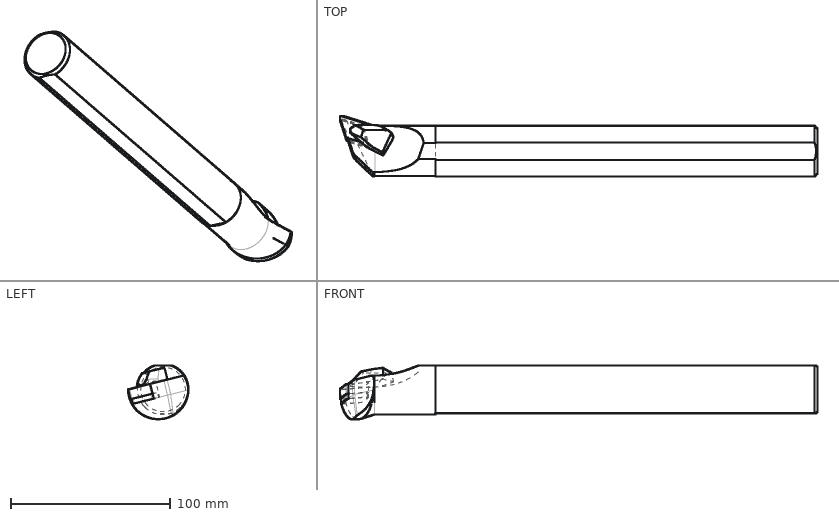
import cadquery as cq
import math

bar_length = 300.0
shank_diameter = 32.0
shank_height = 30.0
shank_start = 60.0
end_chamfer = 2.0
neck_diameter = 31.7
neck_center_y = (shank_diameter - neck_diameter) / 2

flare_start = 21.8
flare_angle = 17.5
head_radius = 19.0
head_center_y = 3.0
head_bottom = -18.78

tip_offset = 22.0
rake_tilt = 14.0
runout_start = 22.0
runout_radius = 50.0

insert_edge = 15.1
insert_thickness = 6.35
edge_angle = 17.5
nose_radius = 0.8
shim_thickness = 3.18
shim_inset = 0.4

face_setback = 0.8
corner_side = -24.4
slant_angle = 44.5
corner_radius = 5.0
end_relief_angle = 9.5
relief_depth = 30.0

clamp_height = 7.7
clamp_nose_diameter = 4.4
clamp_nose_center = (8.5, -9.5)
clamp_bend = (16.7, -19.9)
clamp_heel = (27.2, -25.5)
clamp_back = (34.1, -14.0)
clamp_side = (22.2, -5.0)
clamp_crown_radius = 16.6
ramp_point = (13.7, -14.4)
ramp_heading = 163.0
ramp_pitch = 40.0
bevel_point = (17.2, -19.0)
bevel_heading = 229.0
bevel_pitch = 80.0
back_point = (26.7, -25.5)
back_heading = -24.0
back_pitch = 75.0

reach = 100.0


def tilted(height=0.0):
    """Workplane parallel to the rake plane, `height` above it, with its origin over the tip."""
    tilt = math.radians(rake_tilt)
    normal = cq.Vector(0, math.sin(tilt), math.cos(tilt))
    origin = cq.Vector(0, tip_offset, 0) + normal * height
    return cq.Workplane(cq.Plane(origin, xDir=(1, 0, 0), normal=normal))


def rod(diameter, start, end, center_y=0.0):
    return cq.Workplane("YZ", origin=(start, center_y, 0)).circle(diameter / 2).extrude(end - start)


def make_shank():
    shank = rod(shank_diameter, shank_start, bar_length).faces(">X").chamfer(end_chamfer)
    length = bar_length - shank_start
    flats = cq.Workplane("XY").box(length, shank_diameter, shank_height)
    return shank.intersect(flats.translate((shank_start + length / 2, 0, 0)))


def make_head_blank():
    neck = rod(neck_diameter, 0, shank_start, neck_center_y)
    tip_radius = neck_diameter / 2 + flare_start * math.tan(math.radians(flare_angle))
    cone = (
        cq.Workplane("XZ")
        .polyline([(0, 0), (0, tip_radius), (flare_start, neck_diameter / 2), (flare_start, 0)])
        .close()
        .revolve(360, (0, 0, 0), (1, 0, 0))
        .translate((0, neck_center_y, 0))
    )
    limit = (
        cq.Workplane("YZ")
        .center(head_center_y, head_bottom + head_radius)
        .circle(head_radius)
        .extrude(flare_start)
    )
    return neck.union(cone.intersect(limit))


def trim_end(head):
    """Cut the end face and the slanted face, square above the ridge and relieved below it."""
    face = math.radians(90 - edge_angle)
    slant = math.radians(slant_angle)
    blend = corner_radius * math.tan((face - slant) / 2)
    corner_x = face_setback - corner_side / math.tan(face)
    run = reach / math.tan(slant)
    ridge_height = -insert_thickness - shim_thickness
    outline = (
        tilted(ridge_height)
        .moveTo(corner_x - reach / math.tan(face), corner_side + reach)
        .lineTo(corner_x - blend * math.cos(face), corner_side + blend * math.sin(face))
        .tangentArcPoint(
            (corner_x + blend * math.cos(slant), corner_side - blend * math.sin(slant)),
            relative=False,
        )
        .lineTo(corner_x + run, corner_side - reach)
        .lineTo(corner_x + run, corner_side + reach)
        .close()
        .wire()
        .val()
    )
    upper = tilted(ridge_height).add(outline).toPending().extrude(reach)
    lower = tilted(ridge_height).add(outline).toPending().extrude(-relief_depth, taper=end_relief_angle)
    return head.intersect(upper.union(lower))


def make_runout():
    """Material removed above the rake plane, ending in an arc up to the top of the bar."""
    side = cq.Plane((0, tip_offset, 0), xDir=(1, 0, 0), normal=tilted().plane.yDir * -1)
    return (
        cq.Workplane(side)
        .moveTo(-reach, 0)
        .lineTo(runout_start, 0)
        .radiusArc((runout_start + runout_radius, runout_radius), -runout_radius)
        .lineTo(-reach, runout_radius)
        .close()
        .extrude(reach, both=True)
    )


def diamond(top, thickness, inset=0.0):
    """Diamond plate, its rounded nose touching both limits of the tip when there is no inset."""
    angle = math.radians(edge_angle)
    half_point = math.radians(45) - angle
    corner = nose_radius * (1 - math.sqrt(0.5) / math.sin(half_point))
    along = insert_edge * math.cos(angle)
    across = insert_edge * math.sin(angle)
    points = [
        (corner, -corner),
        (corner + along, -corner - across),
        (corner + along + across, -corner - along - across),
        (corner + across, -corner - along),
    ]
    outline = tilted(top).polyline(points).close()
    if inset:
        outline = outline.offset2D(-inset)
    plate = outline.extrude(-thickness)
    axis = cq.selectors.ParallelDirSelector(tilted().plane.zDir)
    return plate.edges(axis).fillet(nose_radius)


def cut_slope(body, point, heading, pitch):
    """Cut away what lies above a slope through `point`, falling towards `heading`."""
    u, v = point
    plane = tilted(clamp_height).center(u, v).transformed(rotate=(0, 0, heading))
    slope = plane.transformed(rotate=(0, pitch, 0))
    return body.cut(slope.rect(reach, reach).extrude(reach))


def make_clamp():
    radius = clamp_nose_diameter / 2
    nose_u, nose_v = clamp_nose_center
    span = math.hypot(clamp_bend[0] - nose_u, clamp_bend[1] - nose_v)
    aim = math.atan2(clamp_bend[1] - nose_v, clamp_bend[0] - nose_u)
    touch = aim - math.acos(radius / span)
    clamp = (
        tilted()
        .moveTo(nose_u, nose_v + radius)
        .threePointArc(
            (nose_u - radius * math.sqrt(0.5), nose_v + radius * math.sqrt(0.5)),
            (nose_u + radius * math.cos(touch), nose_v + radius * math.sin(touch)),
        )
        .lineTo(*clamp_bend)
        .lineTo(*clamp_heel)
        .lineTo(*clamp_back)
        .lineTo(*clamp_side)
        .lineTo(nose_u, clamp_side[1])
        .close()
        .extrude(clamp_height)
    )
    clamp = cut_slope(clamp, ramp_point, ramp_heading, ramp_pitch)
    clamp = cut_slope(clamp, bevel_point, bevel_heading, bevel_pitch)
    clamp = cut_slope(clamp, back_point, back_heading, back_pitch)
    return clamp.intersect(rod(2 * clamp_crown_radius, 0, shank_start))


head = make_head_blank()
below_flat = cq.Workplane("XY", origin=(0, 0, shank_height / 2)).rect(2 * reach, reach).extrude(-reach)
head = trim_end(head.intersect(below_flat)).cut(make_runout())
head = head.cut(diamond(0, insert_thickness + shim_thickness))
shim = diamond(-insert_thickness, shim_thickness, shim_inset)
holder = head.union(make_shank()).union(shim).union(make_clamp())

insert = diamond(0, insert_thickness)

result = cq.Compound.makeCompound([holder.solids().val(), insert.solids().val()])